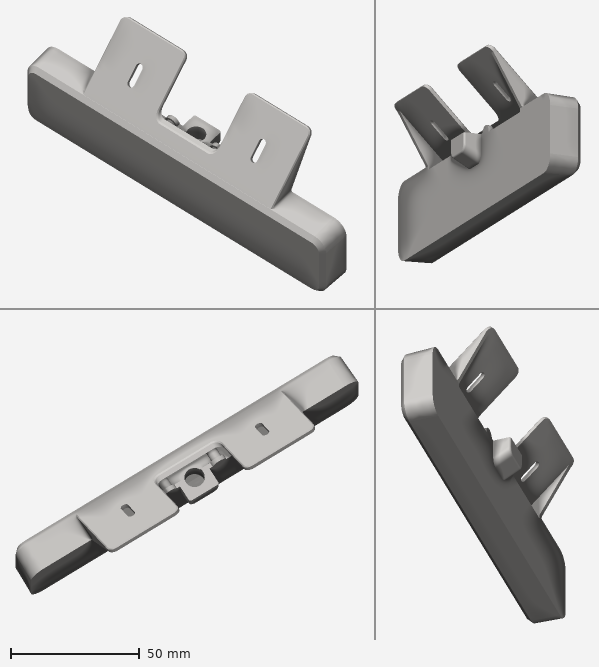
import cadquery as cq
import math


housing_length = 150.0
housing_height = 32.1
housing_depth = 14.0
housing_corner_radius = 6.3
draft_angle = 2.0
front_chamfer = 2.0
mid_z = housing_height / 2
draft_inset = housing_depth * math.tan(math.radians(draft_angle))
front_inset = draft_inset + front_chamfer

rim_width = 0.38
frame_width = 0.9
panel_thickness = 2.2
front_corner_radius = housing_corner_radius - front_inset

bracket_width = 94.5
plate_thickness = 1.8
plate_edge_chamfer = 0.5
tip_y = 28.4
plate_base_z = housing_height - front_inset
diagonal = math.sqrt(2)
plate_length = tip_y * diagonal - plate_thickness
tab_corner_radius = 3.0
notch_width = 30.0
notch_floor_z = 36.2
gusset_thickness = 2.0
gusset_tip_length = 3.2
gusset_fillet = 0.9

slot_spacing = 61.5
slot_width = 3.2
slot_length = 10.2
slot_z = 43.8

shelf_z = 30.6
boss_spacing = 22.5
boss_diameter = 4.4
boss_z = 30.9
boss_front_y = 6.0

cover_thickness = 1.8
cover_top_z = 31.6
cover_bottom_z = 16.5
ear_diameter = 6.3
cover_front_y = housing_depth - cover_thickness
block_width = 13.5
block_rear_y = 21.2
block_rear_height = 7.5
block_root_height = 11.4
block_bottom_radius = 3.0
block_rear_radius = 0.9

cable_diameter = 8.0
cable_y = 13.8
cable_floor_thickness = 2.2
block_slope = (block_root_height - block_rear_height) / (block_rear_y - housing_depth)
cable_floor_z = cover_top_z - block_root_height - cover_thickness * block_slope + cable_floor_thickness


def upright(y):
    """Workplane across Y whose extrusions run from y towards the front."""
    return cq.Workplane("XZ", origin=(0, y, 0))


def rounded_slab(length, height, radius, depth):
    """Rounded plate centred on the housing front, reaching from Y = 0 to the given depth."""
    return (
        upright(depth)
        .center(0, mid_z)
        .rect(length, height)
        .extrude(depth)
        .edges("|Y")
        .fillet(radius)
    )


def front_slab(inset, depth):
    """Rounded slab whose outline lies inset from the edge of the front face."""
    total_inset = front_inset + inset
    return rounded_slab(
        housing_length - 2 * total_inset,
        housing_height - 2 * total_inset,
        front_corner_radius - inset,
        depth,
    )


def plate_back_y(z):
    """Y of the plate's rear surface at height z."""
    return z - plate_base_z + plate_thickness * diagonal


def side_prism(points, width):
    """Prism with a Y-Z outline, centred on X = 0."""
    return cq.Workplane("YZ").polyline(points).close().extrude(width / 2, both=True)


def make_block():
    """Drafted block with rounded corners and a chamfer around its front face."""
    outline = (
        cq.Sketch()
        .rect(housing_length, housing_height)
        .vertices()
        .fillet(housing_corner_radius)
    )
    return (
        upright(housing_depth)
        .center(0, mid_z)
        .placeSketch(outline)
        .extrude(housing_depth, taper=draft_angle)
        .faces("<Y")
        .chamfer(front_chamfer)
    )


def make_plate():
    """Sloping plate with rounded tabs, notch, slots and a chamfered front outline."""
    slope_plane = cq.Plane(origin=(0, 0, plate_base_z), xDir=(1, 0, 0), normal=(0, -1, 1))
    plate = (
        cq.Workplane(slope_plane)
        .center(0, plate_length / 2)
        .rect(bracket_width, plate_length)
        .extrude(-plate_thickness)
    )
    notch_height = tip_y + plate_base_z
    notch = (
        upright(2 * tip_y)
        .center(0, notch_floor_z + notch_height / 2)
        .rect(notch_width, notch_height)
        .extrude(2 * tip_y)
        .edges("|Y and <Z")
        .fillet(tab_corner_radius)
    )
    plate = plate.cut(notch)
    plate = (
        plate.edges("|(0,-1,1)")
        .filter(lambda edge: edge.Center().z > slot_z)
        .fillet(tab_corner_radius)
        .faces(">(0,-1,1)")
        .edges()
        .filter(lambda edge: edge.Center().z > housing_height)
        .chamfer(plate_edge_chamfer)
    )
    slots = (
        cq.Workplane(slope_plane)
        .center(0, (slot_z - plate_base_z) * diagonal)
        .rarray(slot_spacing, 1.5, 2, 1)
        .slot2D(slot_length, slot_width, 90)
        .extrude(-plate_thickness)
    )
    return plate.cut(slots)


def make_gussets():
    """Two triangular walls that join the outer sides of the plate to the housing top."""
    top_y = tip_y - gusset_tip_length / diagonal
    top_z = top_y + plate_base_z - plate_thickness * diagonal
    outline = [
        (top_y, top_z),
        (housing_depth, housing_height),
        (housing_depth, shelf_z),
        (plate_back_y(shelf_z), shelf_z),
    ]
    gap = bracket_width - 2 * gusset_thickness
    return side_prism(outline, bracket_width).cut(side_prism(outline, gap))


def make_shelf_space():
    """Space cut out of the housing top between the gussets, behind the plate."""
    outline = [
        (plate_back_y(shelf_z), shelf_z),
        (housing_depth, shelf_z),
        (housing_depth, housing_height),
        (plate_back_y(housing_height), housing_height),
    ]
    return side_prism(outline, bracket_width - 2 * gusset_thickness)


def is_gusset_foot(edge):
    """True for the two long edges where the gussets' outer sides stand on the housing top."""
    center = edge.Center()
    on_outer_side = abs(abs(center.x) - bracket_width / 2) < gusset_fillet / 10
    near_top = housing_height - front_inset < center.z < housing_height
    return on_outer_side and near_top and center.y > front_chamfer


def make_bosses():
    """Two round bosses on the shelf, in front of the cover's ears."""
    return (
        upright(cover_front_y)
        .center(0, boss_z)
        .rarray(boss_spacing, 1.5, 2, 1)
        .circle(boss_diameter / 2)
        .extrude(cover_front_y - boss_front_y)
    )


def make_cover_plate():
    """Plate with its two ears, without the block."""
    body_width = boss_spacing + ear_diameter
    body = (
        upright(housing_depth)
        .center(0, (cover_bottom_z + boss_z) / 2)
        .rect(body_width, boss_z - cover_bottom_z)
        .extrude(cover_thickness)
    )
    top_strip = (
        upright(housing_depth)
        .center(0, (boss_z + cover_top_z) / 2)
        .rect(boss_spacing, cover_top_z - boss_z)
        .extrude(cover_thickness)
    )
    ears = (
        upright(housing_depth)
        .center(0, boss_z)
        .rarray(boss_spacing, 1.5, 2, 1)
        .circle(ear_diameter / 2)
        .extrude(cover_thickness)
    )
    return body.union(top_strip).union(ears)


def make_cable_block():
    """Block behind the cover plate with a sloping, rounded underside."""
    outline = [
        (housing_depth, cover_top_z),
        (block_rear_y, cover_top_z),
        (block_rear_y, cover_top_z - block_rear_height),
        (housing_depth, cover_top_z - block_root_height),
    ]
    return (
        side_prism(outline, block_width)
        .faces("<Z")
        .edges("not |X")
        .fillet(block_bottom_radius)
        .faces(">Y")
        .edges("|Z")
        .fillet(block_rear_radius)
    )


def make_cable_hole():
    """Round hole with a level floor in the housing and a floor rising rearwards in the cover."""
    rear_y = cable_y + cable_diameter
    front_y = cable_y - cable_diameter
    rear_floor_z = cable_floor_z + block_slope * (rear_y - cover_front_y)
    outline = [
        (front_y, cable_floor_z),
        (cover_front_y, cable_floor_z),
        (rear_y, rear_floor_z),
        (rear_y, cover_top_z),
        (front_y, cover_top_z),
    ]
    bore = (
        cq.Workplane("XY", origin=(0, cable_y, cable_floor_z))
        .circle(cable_diameter / 2)
        .extrude(cover_top_z - cable_floor_z)
    )
    return bore.intersect(side_prism(outline, 2 * cable_diameter))


def make_housing():
    """Block with the bracket on top, recessed for the frame, the panel and the cover."""
    return (
        make_block()
        .cut(make_shelf_space())
        .union(make_plate())
        .union(make_gussets())
        .edges()
        .filter(is_gusset_foot)
        .fillet(gusset_fillet)
        .union(make_bosses())
        .cut(front_slab(rim_width, panel_thickness))
        .cut(make_cover_plate())
        .cut(make_cable_hole())
    )


def make_panel():
    return front_slab(rim_width + frame_width, panel_thickness)


def make_frame():
    """Ring that fills the gap between the housing rim and the panel."""
    return front_slab(rim_width, panel_thickness).cut(make_panel())


def make_cover():
    return make_cover_plate().union(make_cable_block()).cut(make_cable_hole())


housing = make_housing()
frame = make_frame()
panel = make_panel()
cover = make_cover()

result = cq.Compound.makeCompound([housing.val(), frame.val(), panel.val(), cover.val()])